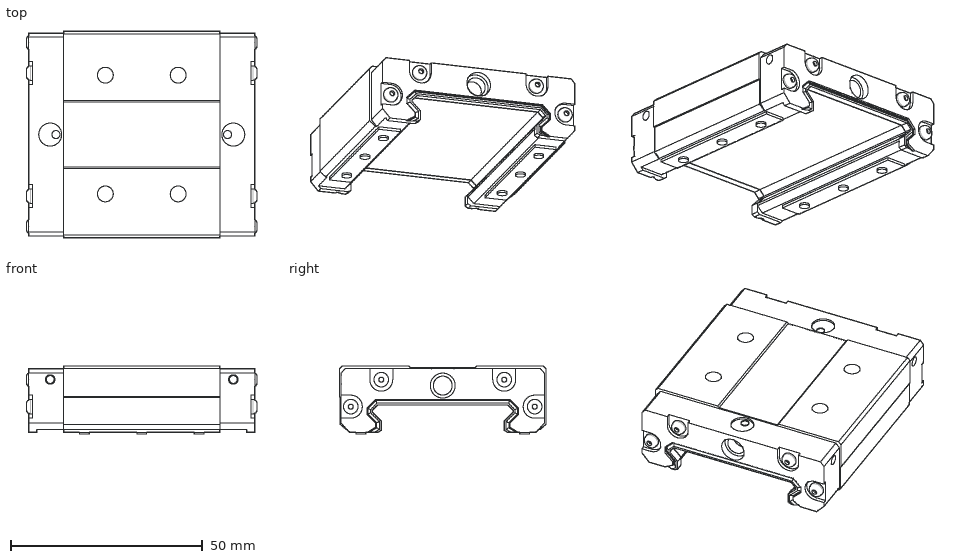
import cadquery as cq


width = 54.0
height = 17.85
cap_end_x = 29.5
block_end_x = 20.4

block_bottom_z = 1.2
block_top_chamfer = 0.75
block_foot_chamfer_y = 1.6
block_foot_chamfer_z = 1.4
side_step_z = 9.8
side_step = 0.2
channel_top_half_width = 8.85
channel_depth = 0.4

cap_side_inset = 0.5
cap_top_inset = 0.7
cap_width = width - 2 * cap_side_inset
cap_top_z = height - cap_top_inset
cap_chamfer_y = 1.0
cap_chamfer_z = 1.2
cap_foot_chamfer_z = 2.9
seal_plate_thickness = 2.1
seal_plate_bottom_z = 0.5
seal_foot_half_width = 24.4
foot_slope = (cap_foot_chamfer_z - seal_plate_bottom_z) / (cap_width / 2 - seal_foot_half_width)

opening_top_z = 7.6
opening_waist_y = 18.35
opening_waist_z = (5.8, 6.2)
opening_throat_y = 16.05
opening_foot_z = 1.0
opening_foot_slope = 0.6
opening_floor_z = -6.0
body_clearance = 0.1
body_throat_foot_z = 2.8
body_foot_slope = 1.0

wiper_lip_width = 0.5
wiper_depth = 0.6
wiper_lip_flare = 0.7
wiper_ledge = 0.25

strip_inner_y = 18.5
strip_outer_y = seal_foot_half_width
rivet_diameter = 2.6
rivet_y = 21.4
rivet_xs = (-15.0, 0.0, 15.0)

mount_hole_diameter = 4.13
mount_hole_depth = 6.0
mount_hole_x = 9.5
mount_hole_y = 15.5

upper_screw_y = 16.05
upper_screw_z = 14.25
lower_screw_y = 24.0
lower_screw_z = 7.2
screw_recess_diameter = 6.0
screw_recess_depth = 1.0
screw_head_diameter = 3.8
screw_head_round = 1.15
screw_head_projection = 0.65
screw_head_height = screw_recess_depth + screw_head_projection
screw_socket_diameter = 1.25
screw_socket_depth = 0.8

port_x = 23.9
end_port_z = 12.7
end_port_diameter = 6.5
end_port_depth = 2.0
end_bore_diameter = 4.92
end_bore_depth = 5.2
top_port_diameter = 6.0
top_port_depth = 0.5
top_hole_diameter = 2.1
top_hole_depth = 0.7
top_hole_x = 22.4
side_port_z = 14.3
side_port_diameter = 2.46
side_port_depth = 4.0
side_hole_diameter = 2.05
side_hole_depth = 6.0


def prism(section, x_start, x_end):
    """Extrude a closed (y, z) outline along X."""
    return cq.Workplane("YZ", origin=(x_start, 0, 0)).polyline(section).close().extrude(x_end - x_start)


def cylinder(start, direction, diameter, length):
    axis = cq.Vector(*direction)
    return cq.Workplane(cq.Solid.makeCylinder(diameter / 2, length, cq.Vector(*start), axis))


def mirrored_outline(half):
    """Complete a +Y half outline, listed from top to bottom, with its -Y mirror image."""
    return half + [(-y, z) for y, z in reversed(half)]


def mirror_both_ends(shape):
    return shape.union(shape.mirror("YZ"))


def opening_outline(foot_z, slope):
    """Rail opening, continued below the part along the slope of its foot."""
    waist_low_z, waist_high_z = opening_waist_z
    top_y = opening_waist_y - (opening_top_z - waist_high_z)
    throat_z = waist_low_z - (opening_waist_y - opening_throat_y)
    floor_y = opening_throat_y + (foot_z - opening_floor_z) / slope
    return mirrored_outline([
        (top_y, opening_top_z),
        (opening_waist_y, waist_high_z),
        (opening_waist_y, waist_low_z),
        (opening_throat_y, throat_z),
        (opening_throat_y, foot_z),
        (floor_y, opening_floor_z),
    ])


def opening_wire(x, offset):
    """Seal plate rail opening at position x, grown outwards by offset."""
    outline = opening_outline(opening_foot_z, opening_foot_slope)
    wire = cq.Workplane("YZ", origin=(x, 0, 0)).polyline(outline).close()
    return wire.offset2D(offset, "intersection").val()


def make_block():
    half_width = width / 2
    foot_y = half_width - block_foot_chamfer_y
    channel_floor_y = channel_top_half_width - channel_depth
    channel_floor_z = height - channel_depth
    half = [
        (channel_floor_y, channel_floor_z),
        (channel_top_half_width, height),
        (half_width - block_top_chamfer, height),
        (half_width, height - block_top_chamfer),
        (half_width, block_bottom_z + block_foot_chamfer_z),
        (foot_y, block_bottom_z),
    ]
    block = prism(mirrored_outline(half), -block_end_x, block_end_x)
    side_relief = [
        (-half_width, side_step_z),
        (-half_width + side_step, side_step_z - side_step),
        (-half_width + side_step, block_bottom_z + block_foot_chamfer_z),
        (-foot_y + side_step, block_bottom_z),
        (-half_width, block_bottom_z),
    ]
    return block.cut(prism(side_relief, -block_end_x, block_end_x))


def cap_outline(bottom_z):
    half_width = cap_width / 2
    foot_y = half_width - (cap_foot_chamfer_z - bottom_z) / foot_slope
    return mirrored_outline([
        (half_width - cap_chamfer_y, cap_top_z),
        (half_width, cap_top_z - cap_chamfer_z),
        (half_width, cap_foot_chamfer_z),
        (foot_y, bottom_z),
    ])


def make_body():
    """Block and both caps, with the rail opening running through them."""
    seal_start_x = cap_end_x - seal_plate_thickness
    body = make_block().union(prism(cap_outline(block_bottom_z), -seal_start_x, seal_start_x))
    outline = opening_outline(body_throat_foot_z, body_foot_slope)
    opening = cq.Workplane("YZ", origin=(-cap_end_x, 0, 0)).polyline(outline).close()
    return body.cut(opening.offset2D(body_clearance, "intersection").extrude(2 * cap_end_x))


def make_wiper_groove():
    """Groove around the rail opening whose inner wall slopes out to the wiper lip."""
    face_x = -cap_end_x
    floor_x = face_x + wiper_depth
    lip_foot_offset = wiper_lip_width + wiper_lip_flare
    outer = cq.Solid.extrudeLinear(
        opening_wire(face_x, lip_foot_offset + wiper_ledge), [], cq.Vector(wiper_depth, 0, 0)
    )
    lip = cq.Solid.makeLoft(
        [opening_wire(face_x, wiper_lip_width), opening_wire(floor_x, lip_foot_offset)], True
    )
    return cq.Workplane(outer).cut(cq.Workplane(lip))


def make_seal_plate():
    inner_x = -cap_end_x + seal_plate_thickness
    plate = prism(cap_outline(seal_plate_bottom_z), -cap_end_x, inner_x)
    plate = plate.cut(prism(opening_outline(opening_foot_z, opening_foot_slope), -cap_end_x, inner_x))
    return plate.cut(make_wiper_groove())


def make_side_seal(side):
    """Strip under one leg of the block, with its rivet heads."""
    strip = (
        cq.Workplane("XY", origin=(0, side * (strip_inner_y + strip_outer_y) / 2, seal_plate_bottom_z))
        .rect(2 * block_end_x, strip_outer_y - strip_inner_y)
        .extrude(block_bottom_z - seal_plate_bottom_z)
    )
    for x in rivet_xs:
        strip = strip.union(cylinder((x, side * rivet_y, 0), (0, 0, 1), rivet_diameter, block_bottom_z))
    return strip


def make_screw_recess(y, z, open_direction):
    """Round-ended pocket in the -X face that runs out along open_direction (y, z)."""
    reach = screw_recess_diameter
    dy, dz = open_direction
    recess = cylinder((-cap_end_x, y, z), (1, 0, 0), screw_recess_diameter, screw_recess_depth)
    runout = cq.Workplane("XY").box(
        screw_recess_depth,
        reach if dy else screw_recess_diameter,
        reach if dz else screw_recess_diameter,
    )
    return recess.union(
        runout.translate((-cap_end_x + screw_recess_depth / 2, y + dy * reach / 2, z + dz * reach / 2))
    )


def make_screw_head(y, z):
    """Button head standing on the recess floor, with a round socket."""
    rim_radius = screw_head_diameter / 2
    top_radius = rim_radius - screw_head_round
    base_x = -cap_end_x + screw_recess_depth
    top_x = base_x - screw_head_height
    dome_x = top_x + screw_head_round
    head = (
        cq.Workplane("XY")
        .moveTo(base_x, 0)
        .lineTo(base_x, rim_radius)
        .lineTo(dome_x, rim_radius)
        .radiusArc((top_x, top_radius), -screw_head_round)
        .lineTo(top_x, 0)
        .close()
        .revolve(360, (0, 0, 0), (1, 0, 0))
    )
    socket = cylinder((top_x, 0, 0), (1, 0, 0), screw_socket_diameter, screw_socket_depth)
    return head.cut(socket).translate((0, y, z))


def make_end_ports():
    """Cutter for the lubrication ports of the -X cap: end face, top face and -Y side."""
    end_start = (-cap_end_x, 0, end_port_z)
    top_port_start = (-port_x, 0, cap_top_z)
    top_hole_start = (-top_hole_x, 0, cap_top_z)
    side_start = (-port_x, -cap_width / 2, side_port_z)
    bores = (
        (end_start, (1, 0, 0), end_port_diameter, end_port_depth),
        (end_start, (1, 0, 0), end_bore_diameter, end_bore_depth),
        (top_port_start, (0, 0, -1), top_port_diameter, top_port_depth),
        (top_hole_start, (0, 0, -1), top_hole_diameter, top_hole_depth),
        (side_start, (0, 1, 0), side_port_diameter, side_port_depth),
        (side_start, (0, 1, 0), side_hole_diameter, side_hole_depth),
    )
    ports = cq.Workplane()
    for start, direction, diameter, depth in bores:
        ports = ports.add(cylinder(start, direction, diameter, depth))
    return ports.combine()


result = make_body().union(mirror_both_ends(make_seal_plate()))
for side in (1, -1):
    result = result.union(make_side_seal(side))
    screws = (
        (side * upper_screw_y, upper_screw_z, (0, 1)),
        (side * lower_screw_y, lower_screw_z, (side, 0)),
    )
    for y, z, open_direction in screws:
        result = result.cut(mirror_both_ends(make_screw_recess(y, z, open_direction)))
        result = result.union(mirror_both_ends(make_screw_head(y, z)))
    for x in (mount_hole_x, -mount_hole_x):
        hole_start = (x, side * mount_hole_y, height)
        result = result.cut(cylinder(hole_start, (0, 0, -1), mount_hole_diameter, mount_hole_depth))
result = result.cut(mirror_both_ends(make_end_ports()))